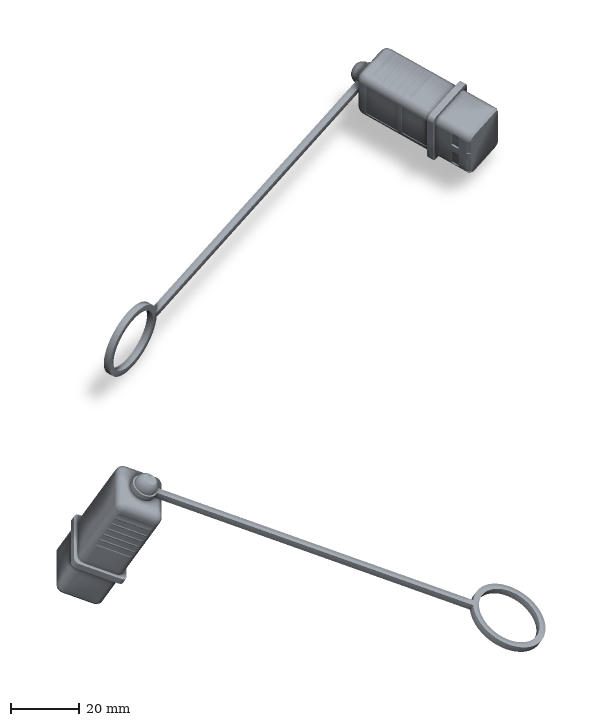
import cadquery as cq
import math

total_width = 140.6

strap_thickness = 2.1
bar_width = 2.1
eyelet_diameter = 8.0
ring_outer_diameter = 23.9
ring_inner_diameter = 20.0

plug_length = 41.2
plug_width = 15.0
plug_height = 18.0
edge_radius = 2.4
back_radius = 2.5
end_chamfer_length = 0.8
end_chamfer_depth = 0.5

flange_start = 26.7
flange_thickness = 2.1
flange_width = 17.3
flange_height = 20.1
flange_corner_radius = 1.7

pin_diameter = 4.8
knob_diameter = 7.0
knob_height = 3.4
knob_side_length = 0.5
knob_cap_diameter = 4.2
knob_cap_height = 0.1

groove_count = 6
groove_pitch = 2.5
groove_depth = 0.1
grip_start = 3.4
ridge_width = 0.1
groove_slope_length = 0.3

panel_depth = 0.3
back_panel_start = 3.8
back_panel_length = 11.4
front_panel_start = 16.7
front_panel_inset = 0.4

window_start = 34.6
window_length = 2.5
window_height = 5.6
window_center_z = 4.2
window_depth = 0.5
ramp_length = 1.3
ramp_depth = 0.7

face_y = -plug_width / 2
flat_height = plug_height - 2 * edge_radius
ring_center_y = flange_width / 2 - total_width + ring_outer_diameter / 2


def box_between(x_start, x_end, y_start, y_end, z_start, z_end):
    """Axis-aligned box given by its limits."""
    return cq.Workplane("XY").box(
        x_end - x_start, y_end - y_start, z_end - z_start, centered=False
    ).translate((x_start, y_start, z_start))


def disc(diameter, x_start, x_end, y=0.0):
    """Round disc with its axis along X."""
    return (
        cq.Workplane("YZ", origin=(x_start, y, 0))
        .circle(diameter / 2)
        .extrude(x_end - x_start)
    )


def make_plug_block():
    """Plug block with rounded long and back edges and a chamfered mating end."""
    block = box_between(
        0, plug_length, face_y, -face_y, -plug_height / 2, plug_height / 2
    )
    block = block.edges("|X").fillet(edge_radius)
    block = block.faces(">X").chamfer(end_chamfer_length, end_chamfer_depth)
    return block.faces("<X").edges().fillet(back_radius)


def make_flange():
    """Rectangular collar around the plug."""
    return box_between(
        flange_start, flange_start + flange_thickness,
        -flange_width / 2, flange_width / 2,
        -flange_height / 2, flange_height / 2,
    ).edges("|X").fillet(flange_corner_radius)


def make_knob():
    """Pin through the eyelet and a knob with a rounded shoulder and a shallow domed cap."""
    apex_x = -strap_thickness - knob_height
    rim_x = apex_x + knob_cap_height
    side_x = -strap_thickness - knob_side_length
    knob_radius = knob_diameter / 2
    cap_radius = knob_cap_diameter / 2
    shoulder_length = side_x - rim_x
    shoulder_width = knob_radius - cap_radius
    shoulder_radius = (shoulder_length**2 + shoulder_width**2) / (2 * shoulder_width)
    cap_sphere_radius = (cap_radius**2 + knob_cap_height**2) / (2 * knob_cap_height)
    half_radius = cap_radius / 2
    cap_middle_x = apex_x + cap_sphere_radius - math.sqrt(cap_sphere_radius**2 - half_radius**2)
    profile = (
        cq.Workplane("XY")
        .moveTo(-strap_thickness, 0)
        .lineTo(-strap_thickness, knob_radius)
        .lineTo(side_x, knob_radius)
        .radiusArc((rim_x, cap_radius), -shoulder_radius)
        .threePointArc((cap_middle_x, half_radius), (apex_x, 0))
        .close()
    )
    knob = profile.revolve(360, (0, 0, 0), (1, 0, 0))
    return knob.union(disc(pin_diameter, -strap_thickness, 0))


def make_top_grooves():
    """Grip grooves across the top: a curved scoop first, then flat floors with sloped sides."""
    top = plug_height / 2
    floor = top - groove_depth
    groove_length = groove_pitch - ridge_width
    base = cq.Workplane("XZ", origin=(0, plug_width / 2, 0))
    grooves = (
        base.moveTo(grip_start, top)
        .threePointArc((grip_start + groove_length / 2, floor), (grip_start + groove_length, top))
        .close()
        .extrude(plug_width)
    )
    for i in range(1, groove_count):
        start = grip_start + i * groove_pitch
        end = start + groove_length
        outline = [
            (start, top),
            (start + groove_slope_length, floor),
            (end - groove_slope_length, floor),
            (end, top),
        ]
        grooves = grooves.add(base.polyline(outline).close().extrude(plug_width))
    return grooves.combine()


def make_panels():
    """Two shallow rectangular recesses in the -Y face, the second ending at the flange."""
    floor_y = face_y + panel_depth
    back_half = flat_height / 2
    front_half = back_half - front_panel_inset
    back_panel = box_between(
        back_panel_start, back_panel_start + back_panel_length,
        face_y, floor_y, -back_half, back_half,
    )
    front_panel = box_between(
        front_panel_start, flange_start, face_y, floor_y, -front_half, front_half
    )
    return back_panel.add(front_panel).combine()


def make_latch_cut(center_z):
    """Window recess and the ramp in line with it at the mating end."""
    bottom_z = center_z - window_height / 2
    window = box_between(
        window_start, window_start + window_length,
        face_y, face_y + window_depth,
        bottom_z, bottom_z + window_height,
    )
    ramp = (
        cq.Workplane("XY", origin=(0, 0, bottom_z))
        .moveTo(plug_length - ramp_length, face_y)
        .lineTo(plug_length, face_y)
        .lineTo(plug_length, face_y + ramp_depth)
        .close()
        .extrude(window_height)
    )
    return window.add(ramp).combine()


def make_plug():
    """Plug with its grip grooves, panels, latch windows, flange and knob."""
    top_grooves = make_top_grooves()
    plug = make_plug_block()
    plug = plug.cut(top_grooves).cut(top_grooves.mirror("XY"))
    plug = plug.cut(make_panels())
    for center_z in (-window_center_z, window_center_z):
        plug = plug.cut(make_latch_cut(center_z))
    return plug.union(make_flange()).union(make_knob())


def make_strap():
    """Flat strap with a small eyelet around the pin and a large ring at the far end."""
    eyelet = disc(eyelet_diameter, -strap_thickness, 0)
    ring = disc(ring_outer_diameter, -strap_thickness, 0, ring_center_y)
    bar = box_between(
        -strap_thickness, 0, ring_center_y, 0, -bar_width / 2, bar_width / 2
    )
    strap = eyelet.union(bar).union(ring)
    strap = strap.cut(disc(pin_diameter, -strap_thickness, 0))
    return strap.cut(disc(ring_inner_diameter, -strap_thickness, 0, ring_center_y))


plug = make_plug()
strap = make_strap()

result = cq.Compound.makeCompound([plug.val(), strap.val()])